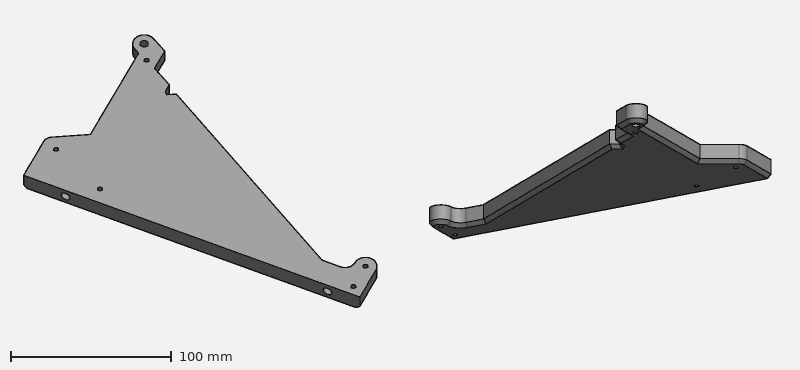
import cadquery as cq
import math

LENGTH = 230.5
WIDTH = 133.7
THICKNESS = 12.0
CHAMFER = 2.5

SLOPE = math.radians(30)
LUG_RADIUS = 7.1
LUG_X = 24.0
LUG_Y = WIDTH - LUG_RADIUS
LUG_HOLE_DIAMETER = 5.0

COLUMN_X = 24.0
SHOULDER_Y = 47.0
SHOULDER_RADIUS = 6.0

STEP_1_X = 38.0
STEP_1_Y = 111.5
STEP_2_X = 51.9
NOTCH_START_Y = 97.7
NOTCH_BOTTOM = (53.7, 95.7)
NOTCH_CREST = (59.0, 98.7)

TOE_RADIUS = 7.1
TOE_X = LENGTH - TOE_RADIUS
TOE_Y = 23.7
TOE_FILLET_RADIUS = 7.0
FLAT_START_X = 196.9
FLAT_Y = TOE_Y - TOE_FILLET_RADIUS

SMALL_HOLE_DIAMETER = 3.0
SMALL_HOLES = [(9.7, 27.2), (47.7, 10.1), (31.0, 115.3), (TOE_X, 6.0), (TOE_X, TOE_Y)]
EDGE_HOLE_DIAMETER = 6.0
EDGE_HOLE_DEPTH = 11.5
EDGE_HOLE_XS = (28.8, 208.5)
DRILL_POINT_ANGLE = math.radians(118)


def down_slope(start, x):
    """Point at x on the line descending rightwards from start."""
    return (x, start[1] - (x - start[0]) * math.tan(SLOPE))


def make_plate():
    """Extrude the outline, bevelling every lower edge except the front one."""
    normal_x = LUG_RADIUS * math.sin(SLOPE)
    normal_y = LUG_RADIUS * math.cos(SLOPE)
    lug_lower = (LUG_X - normal_x, LUG_Y - normal_y)
    lug_upper = (LUG_X + normal_x, LUG_Y + normal_y)
    lug_outer = (LUG_X - normal_y, LUG_Y + normal_x)

    corner_y = SHOULDER_Y - COLUMN_X * math.tan(SLOPE)
    tangent = SHOULDER_RADIUS * math.tan((math.pi / 2 - SLOPE) / 2)
    shoulder_start = (0, corner_y - tangent)
    shoulder_end = (tangent * math.cos(SLOPE), corner_y + tangent * math.sin(SLOPE))

    step_1 = (STEP_1_X, STEP_1_Y)
    fillet_x = TOE_X - TOE_RADIUS - TOE_FILLET_RADIUS
    plate = (
        cq.Workplane("XY")
        .lineTo(*shoulder_start)
        .radiusArc(shoulder_end, SHOULDER_RADIUS)
        .lineTo(COLUMN_X, SHOULDER_Y)
        .lineTo(*down_slope(lug_lower, COLUMN_X))
        .lineTo(*lug_lower)
        .threePointArc(lug_outer, lug_upper)
        .lineTo(*down_slope(lug_upper, STEP_1_X))
        .lineTo(*step_1)
        .lineTo(*down_slope(step_1, STEP_2_X))
        .lineTo(STEP_2_X, NOTCH_START_Y)
        .lineTo(*NOTCH_BOTTOM)
        .lineTo(*NOTCH_CREST)
        .lineTo(FLAT_START_X, FLAT_Y)
        .lineTo(fillet_x, FLAT_Y)
        .radiusArc((TOE_X - TOE_RADIUS, TOE_Y), -TOE_FILLET_RADIUS)
        .threePointArc((TOE_X, TOE_Y + TOE_RADIUS), (LENGTH, TOE_Y))
        .lineTo(LENGTH, 0)
        .close()
        .extrude(THICKNESS)
    )
    front_edge = cq.selectors.NearestToPointSelector((LENGTH / 2, 0, 0))
    bottom_edges = cq.selectors.StringSyntaxSelector("<Z")
    return plate.edges(bottom_edges - front_edge).chamfer(CHAMFER)


def make_vertical_holes():
    """Cutters for the lug hole and the small through holes."""
    small = (
        cq.Workplane("XY").pushPoints(SMALL_HOLES)
        .circle(SMALL_HOLE_DIAMETER / 2).extrude(THICKNESS)
    )
    lug = (
        cq.Workplane("XY").center(LUG_X, LUG_Y)
        .circle(LUG_HOLE_DIAMETER / 2).extrude(THICKNESS)
    )
    return small.union(lug)


def make_edge_hole(x):
    """Cutter for a drilled blind hole entering the front face."""
    radius = EDGE_HOLE_DIAMETER / 2
    tip_depth = EDGE_HOLE_DEPTH + radius / math.tan(DRILL_POINT_ANGLE / 2)
    return (
        cq.Workplane("XY")
        .polyline([(0, 0), (radius, 0), (radius, EDGE_HOLE_DEPTH), (0, tip_depth)])
        .close()
        .revolve(360, (0, 0), (0, 1))
        .translate((x, 0, THICKNESS / 2))
    )


result = make_plate().cut(make_vertical_holes())
for hole_x in EDGE_HOLE_XS:
    result = result.cut(make_edge_hole(hole_x))